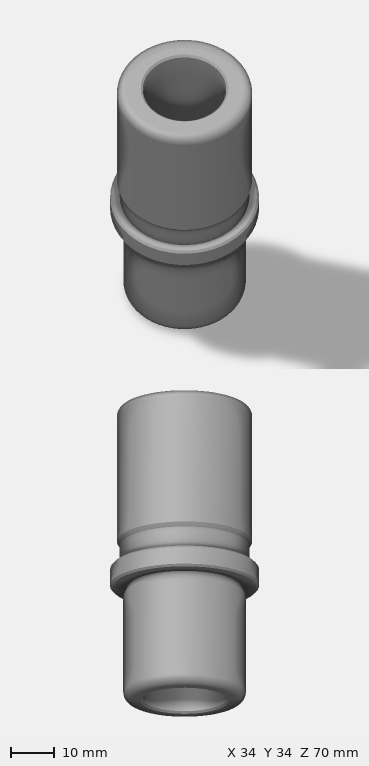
import cadquery as cq

total_length = 70.0
flange_bottom = 27.0
flange_top = 32.0
relief_height = 2.0
head_bottom = 38.1
head_taper_height = 1.0

flange_radius = 17.0
head_radius = 15.5
neck_radius = 14.85
shank_radius = 14.0
relief_radius = 13.1
liner_radius = 11.5
bore_radius = 9.5

end_fillet = 2.0
flange_chamfer = 0.5
bore_chamfer = 0.5


def round_bar(radius, bottom, top):
    """Cylinder on the Z axis between two heights."""
    return cq.Workplane("XY").workplane(offset=bottom).circle(radius).extrude(top - bottom)


def cone(bottom_radius, top_radius, bottom, top):
    """Truncated cone on the Z axis between two heights."""
    return cq.Workplane(
        cq.Solid.makeCone(bottom_radius, top_radius, top - bottom, pnt=cq.Vector(0, 0, bottom))
    )


def make_housing():
    """Flanged outer sleeve with a straight hole for the liner."""
    relief_bottom = flange_bottom - relief_height
    shank = round_bar(shank_radius, 0, relief_bottom).faces("<Z").edges().fillet(end_fillet)
    relief = cone(shank_radius, relief_radius, relief_bottom, flange_bottom)
    flange = round_bar(flange_radius, flange_bottom, flange_top).edges().chamfer(flange_chamfer)
    taper_bottom = head_bottom - head_taper_height
    neck = round_bar(neck_radius, flange_top, taper_bottom)
    taper = cone(neck_radius, head_radius, taper_bottom, head_bottom)
    head = round_bar(head_radius, head_bottom, total_length).faces(">Z").edges().fillet(end_fillet)
    body = shank.union(relief).union(flange).union(neck).union(taper).union(head)
    return body.cut(round_bar(liner_radius, 0, total_length))


def make_liner():
    """Plain tube filling the housing hole, with its bore chamfered at both ends."""
    tube = round_bar(liner_radius, 0, total_length).cut(round_bar(bore_radius, 0, total_length))
    return tube.faces("<Z or >Z").edges(cq.selectors.RadiusNthSelector(0)).chamfer(bore_chamfer)


housing = make_housing()
liner = make_liner()
result = cq.Compound.makeCompound([housing.solids().val(), liner.solids().val()])